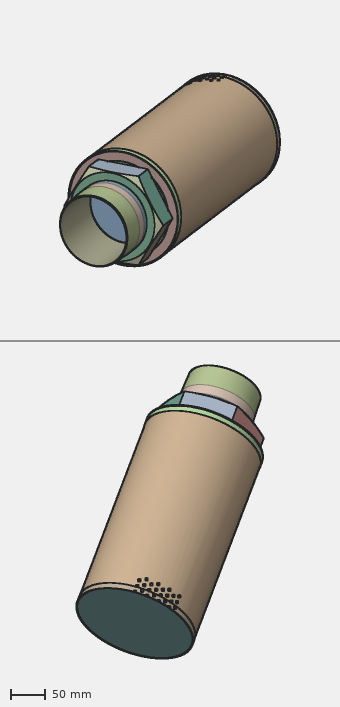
import cadquery as cq
import math

LENGTH = 422.0
CAP_D = 180.0
CAP_R = CAP_D / 2

TAPER_END_Y = 36.0
NECK_Y = 51.0
HEX_FRONT_Y = 61.0
NIPPLE_R = 57.0
NIPPLE_END_R = 55.5
NIPPLE_ROOT_R = 56.5
RIM_CHAMFER = 1.3
BORE_R = 54.0
HEX_FLATS = 141.0
HEX_BEVEL_R = 69.0
HEX_BEVEL_DEPTH = 4.2

FRONT_PLATE = 1.3
REAR_PLATE = 0.5
CAP_WALL = 0.5
FRONT_CAP_Y = 95.5
FRONT_FLANGE = 10.5
REAR_FLANGE = 9.3
RING_R = 74.3

SHELL_WALL = 1.3
SHELL_R = CAP_R - CAP_WALL
CORE_R = SHELL_R - SHELL_WALL
BODY_FRONT_Y = FRONT_CAP_Y + FRONT_PLATE
BODY_REAR_Y = LENGTH - REAR_PLATE

HOLE_D = 4.2
HOLE_PITCH = 10.0
HOLE_ROWS = 3
HOLE_COLUMNS = 8
COLUMN_ANGLE = 6.0
FIRST_HOLE_INSET = 1.3


def cylinder(radius, start_y, end_y):
    """Solid cylinder on the Y axis between two stations."""
    return cq.Workplane("XZ", origin=(0, start_y, 0)).circle(radius).extrude(start_y - end_y)


def tube(outer_r, inner_r, start_y, end_y):
    return cylinder(outer_r, start_y, end_y).cut(cylinder(inner_r, start_y, end_y))


def revolved(points):
    """Solid of revolution about the Y axis from (radius, y) points."""
    return cq.Workplane("XY").polyline(points).close().revolve(360, (0, 0, 0), (0, 1, 0))


def make_hex():
    """Hexagon with two flats facing up and down, its front corners bevelled by a shallow cone."""
    corner_r = HEX_FLATS / 2 / math.cos(math.pi / 6)
    prism = (
        cq.Workplane("XZ", origin=(0, HEX_FRONT_Y, 0))
        .polygon(6, 2 * corner_r)
        .extrude(HEX_FRONT_Y - FRONT_CAP_Y)
    )
    bevel_envelope = revolved([
        (0, HEX_FRONT_Y),
        (HEX_BEVEL_R, HEX_FRONT_Y),
        (corner_r, HEX_FRONT_Y + HEX_BEVEL_DEPTH),
        (corner_r, FRONT_CAP_Y),
        (0, FRONT_CAP_Y),
    ])
    return prism.intersect(bevel_envelope)


def make_fitting():
    """Hexagon and nipple in one piece, bored right through.

    The nipple tapers towards its open end and narrows slightly at its root.
    """
    nipple = revolved([
        (0, 0),
        (NIPPLE_END_R - RIM_CHAMFER, 0),
        (NIPPLE_END_R, RIM_CHAMFER),
        (NIPPLE_R, TAPER_END_Y),
        (NIPPLE_R, NECK_Y),
        (NIPPLE_ROOT_R, HEX_FRONT_Y),
        (0, HEX_FRONT_Y),
    ])
    bore = cylinder(BORE_R, 0, FRONT_CAP_Y)
    return make_hex().union(nipple).cut(bore)


def make_ring():
    """Flat ring behind the hexagon, flush in the hole of the front cap."""
    return tube(RING_R, BORE_R, FRONT_CAP_Y, BODY_FRONT_Y)


def make_front_cap():
    plate = tube(CAP_R, RING_R, FRONT_CAP_Y, BODY_FRONT_Y)
    flange = tube(CAP_R, SHELL_R, BODY_FRONT_Y, FRONT_CAP_Y + FRONT_FLANGE)
    return plate.union(flange)


def make_rear_cap():
    plate = cylinder(CAP_R, BODY_REAR_Y, LENGTH)
    flange = tube(CAP_R, SHELL_R, LENGTH - REAR_FLANGE, BODY_REAR_Y)
    return plate.union(flange)


def make_shell():
    """Thin tube with a patch of small radial holes near its rear end, from the top toward -X."""
    shell = tube(SHELL_R, CORE_R, BODY_FRONT_Y, BODY_REAR_Y)
    for column in range(HOLE_COLUMNS):
        shift = HOLE_PITCH / 2 * (column % 2)
        for row in range(HOLE_ROWS):
            hole_y = LENGTH - FIRST_HOLE_INSET - shift - row * HOLE_PITCH
            hole = (
                cq.Workplane("XY", origin=(0, hole_y, 0))
                .circle(HOLE_D / 2)
                .extrude(CAP_R)
                .rotate((0, 0, 0), (0, 1, 0), -column * COLUMN_ANGLE)
            )
            shell = shell.cut(hole)
    return shell


def make_core():
    return cylinder(CORE_R, BODY_FRONT_Y, BODY_REAR_Y)


fitting = make_fitting()
ring = make_ring()
front_cap = make_front_cap()
shell = make_shell()
core = make_core()
rear_cap = make_rear_cap()

result = cq.Compound.makeCompound([
    fitting.val(),
    ring.val(),
    front_cap.val(),
    shell.val(),
    core.val(),
    rear_cap.val(),
])